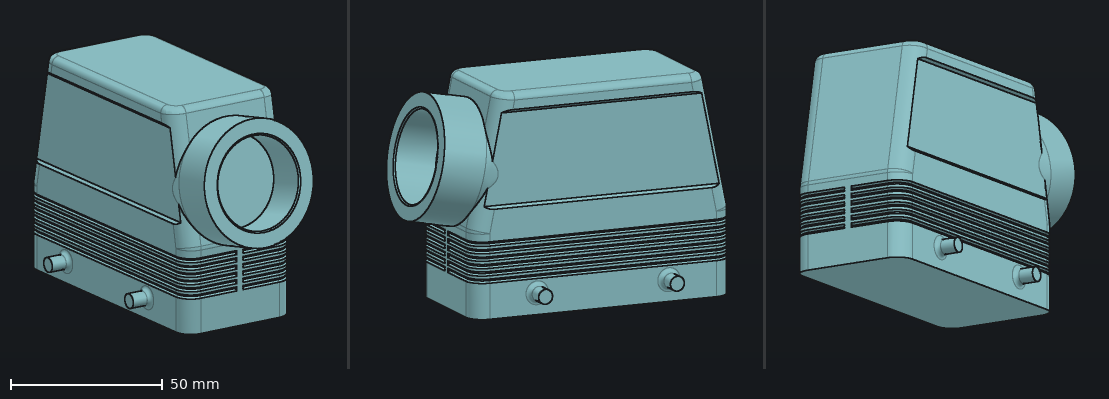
import cadquery as cq
import math

overall_length = 109.0
body_length = 93.6
body_width = 43.0
body_height = 76.0
bend_height = 29.6
end_tilt = math.radians(11.4)
bend_radius = 6.5
corner_radius = 6.0
top_radius = 2.6

recess_depth = 1.0
recess_floor_bottom = 38.0
recess_floor_top = 69.1

groove_count = 6
groove_pitch = 2.5
groove_width = 1.4
lowest_groove_height = 13.0
groove_flank_angle = 45
groove_depth = groove_width / 2 / math.tan(math.radians(groove_flank_angle))
groove_bridge_width = 2.7

pin_span = 57.0
pin_spacing = 47.5
pin_height = 7.5
pin_radius = 2.5
pin_fillet = 1.5

entry_radius = body_width / 2
entry_bore_radius = 16.5
entry_bore_chamfer = 0.5
entry_distance_from_bend = 19.8
entry_neck_depth = 13.1
entry_neck_slope = math.radians(10)

half_length = body_length / 2
half_width = body_width / 2


def make_body():
    """Box with two ends leaning inward above the bend, all rounded."""
    top_half_length = half_length - (body_height - bend_height) * math.tan(end_tilt)
    outline = [
        (-half_length, 0),
        (half_length, 0),
        (half_length, bend_height),
        (top_half_length, body_height),
        (-top_half_length, body_height),
        (-half_length, bend_height),
    ]
    body = cq.Workplane("XZ").polyline(outline).close().extrude(half_width, both=True)
    bend_zone = cq.selectors.BoxSelector(
        (-body_length, -body_width, bend_height - bend_radius),
        (body_length, body_width, bend_height + bend_radius),
    )
    body = body.edges("|Y").edges(bend_zone).fillet(bend_radius)
    body = body.faces("<Y or >Y").edges("not(<Z or >Z)").fillet(corner_radius)
    return body.faces(">Z").edges().fillet(top_radius)


def make_recess(side):
    """Slab with 45 degree edges that runs along one long side."""
    floor_y = side * (half_width - recess_depth)
    outer_y = side * (half_width + recess_depth)
    spread = 2 * recess_depth
    section = [
        (floor_y, recess_floor_bottom),
        (floor_y, recess_floor_top),
        (outer_y, recess_floor_top + spread),
        (outer_y, recess_floor_bottom - spread),
    ]
    return cq.Workplane("YZ").polyline(section).close().extrude(half_length, both=True)


def make_groove(center_height):
    """V-shaped ring around the base, left open at the middle of both ends."""
    root_outline = cq.Sketch().rect(body_length - 2 * groove_depth, body_width - 2 * groove_depth)
    root_outline = root_outline.vertices().fillet(corner_radius - groove_depth)
    band = (
        cq.Workplane("XY")
        .workplane(offset=center_height)
        .rect(2 * body_length, 2 * body_width)
        .extrude(groove_width / 2, both=True)
    )
    root = cq.Workplane("XY").workplane(offset=center_height).placeSketch(root_outline)
    upper_flank = root.extrude(groove_width / 2, taper=-groove_flank_angle)
    lower_flank = root.extrude(-groove_width / 2, taper=-groove_flank_angle)
    bridge = cq.Workplane("XY").box(2 * body_length, groove_bridge_width, 2 * body_height)
    return band.cut(upper_flank).cut(lower_flank).cut(bridge)


def make_pin(x, side):
    """Round pin with a flared foot on one long side."""
    length = pin_span / 2
    foot_end = half_width + pin_fillet
    foot_radius = pin_radius + pin_fillet
    arc_offset = pin_fillet * (1 - math.sqrt(0.5))
    profile = (
        cq.Workplane("XY")
        .moveTo(0, half_width - pin_fillet)
        .lineTo(foot_radius, half_width - pin_fillet)
        .lineTo(foot_radius, half_width)
        .threePointArc((pin_radius + arc_offset, half_width + arc_offset), (pin_radius, foot_end))
        .lineTo(pin_radius, length)
        .lineTo(0, length)
        .close()
    )
    pin = profile.revolve(360, (0, 0, 0), (0, 1, 0))
    if side < 0:
        pin = pin.mirror("XZ")
    return pin.translate((x, 0, pin_height))


entry_center_x = half_length - entry_distance_from_bend * math.sin(end_tilt)
entry_center_z = bend_height + entry_distance_from_bend * math.cos(end_tilt)
entry_reach = overall_length - half_length - entry_center_x
entry_length = (entry_reach - entry_radius * math.sin(end_tilt)) / math.cos(end_tilt)
entry_plane = cq.Plane(
    origin=(entry_center_x, 0, entry_center_z),
    xDir=(0, 1, 0),
    normal=(math.cos(end_tilt), 0, math.sin(end_tilt)),
)


def make_entry():
    """Round collar with a conical neck reaching back into the body."""
    neck_end_radius = entry_radius - entry_neck_depth * math.tan(entry_neck_slope)
    collar = cq.Workplane(entry_plane).circle(entry_radius).extrude(entry_length)
    neck = (
        cq.Workplane(entry_plane)
        .circle(entry_radius)
        .workplane(offset=-entry_neck_depth)
        .circle(neck_end_radius)
        .loft()
    )
    return collar.union(neck)


def make_entry_bore():
    """Blind bore through the collar with a chamfered mouth."""
    throat_radius = entry_bore_radius - entry_bore_chamfer
    bore = cq.Workplane(entry_plane).circle(throat_radius).extrude(entry_length)
    mouth = (
        cq.Workplane(entry_plane)
        .workplane(offset=entry_length - entry_bore_chamfer)
        .circle(throat_radius)
        .workplane(offset=entry_bore_chamfer)
        .circle(entry_bore_radius)
        .loft()
    )
    return bore.union(mouth)


result = make_body()

for side in (-1, 1):
    result = result.cut(make_recess(side))

for index in range(groove_count):
    result = result.cut(make_groove(lowest_groove_height + index * groove_pitch))

for side in (-1, 1):
    for x in (-pin_spacing / 2, pin_spacing / 2):
        result = result.union(make_pin(x, side))

result = result.union(make_entry())
result = result.cut(make_entry_bore())